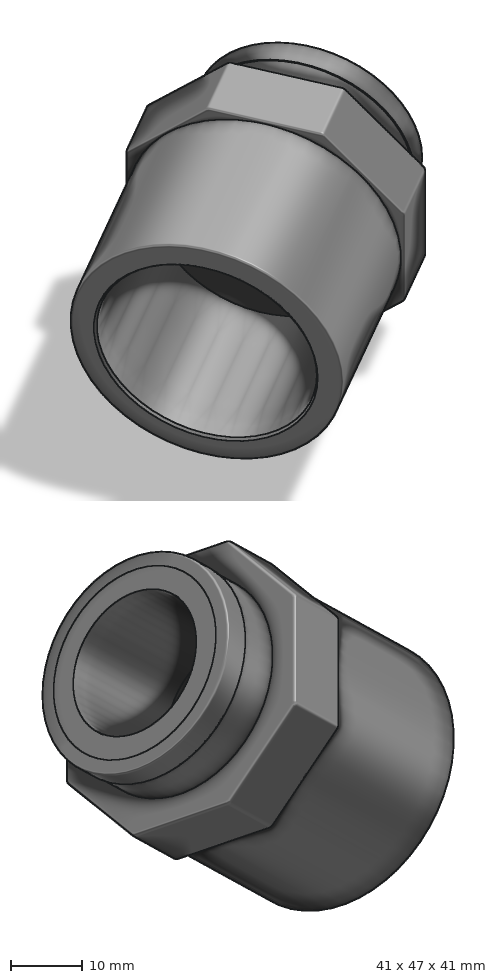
import cadquery as cq
import math


length = 47.0
front_y = -length / 2
rear_y = length / 2
ring_length = 3.85
ring_front_y = rear_y - ring_length
collar_rear_y = rear_y - 10.25
collar_width = 10.1
collar_front_y = collar_rear_y - collar_width
collar_mid_y = (collar_front_y + collar_rear_y) / 2

collar_sides = 8
across_flats = 41.0
collar_corner_radius = 0.95
collar_edge_radius = 0.5

tube_diameter = 40.1
tube_edge_radius = 0.5
neck_diameter = 33.05

bore_diameter = 22.0
mouth_diameter = 33.0
mouth_chamfer_depth = 0.45
socket_rim_diameter = 32.35
socket_floor_diameter = 32.0
socket_depth = 25.85

ring_outer_diameter = 33.4
ring_inner_diameter = 29.0
ring_edge_radius = 0.38


def cylinder_along_y(diameter, start_y, end_y):
    """Solid cylinder on the Y axis between two stations."""
    plane = cq.Workplane("XZ", origin=(0, start_y, 0))
    return plane.circle(diameter / 2).extrude(start_y - end_y)


def make_collar():
    """Octagonal prism with a flat on each of +-X and +-Z, all edges rounded."""
    half_sector = 180 / collar_sides
    across_corners = across_flats / math.cos(math.radians(half_sector))
    return (
        cq.Workplane("XZ", origin=(0, collar_front_y, 0))
        .transformed(rotate=(0, 0, half_sector))
        .polygon(collar_sides, across_corners)
        .extrude(-collar_width)
        .edges("|Y")
        .fillet(collar_corner_radius)
        .faces("<Y or >Y")
        .edges()
        .fillet(collar_edge_radius)
    )


def make_tube():
    """Plain front barrel, rounded around its front face."""
    tube = cylinder_along_y(tube_diameter, front_y, collar_mid_y)
    return tube.faces("<Y").edges().fillet(tube_edge_radius)


def make_neck():
    """Rear neck, reduced at its end to carry the ring."""
    neck = cylinder_along_y(neck_diameter, collar_mid_y, ring_front_y)
    spigot = cylinder_along_y(ring_inner_diameter, ring_front_y, rear_y)
    return neck.union(spigot)


def make_passage():
    """Tapered socket with a chamfered mouth, followed by the narrower through bore."""
    rim_y = front_y + mouth_chamfer_depth
    floor_y = front_y + socket_depth
    half_section = [
        (0, front_y),
        (mouth_diameter / 2, front_y),
        (socket_rim_diameter / 2, rim_y),
        (socket_floor_diameter / 2, floor_y),
        (bore_diameter / 2, floor_y),
        (bore_diameter / 2, rear_y),
        (0, rear_y),
    ]
    return cq.Workplane("XY").polyline(half_section).close().revolve(360, (0, 0, 0), (0, 1, 0))


def make_fitting():
    """Barrel, collar and neck in one piece, with the passage cut through."""
    return make_collar().union(make_tube()).union(make_neck()).cut(make_passage())


def make_ring():
    """Reinforcing ring, rounded around its outer rear edge."""
    blank = cylinder_along_y(ring_outer_diameter, ring_front_y, rear_y)
    blank = blank.faces(">Y").edges().fillet(ring_edge_radius)
    return blank.cut(cylinder_along_y(ring_inner_diameter, ring_front_y, rear_y))


fitting = make_fitting()
ring = make_ring()

result = cq.Compound.makeCompound([fitting.val(), ring.val()])